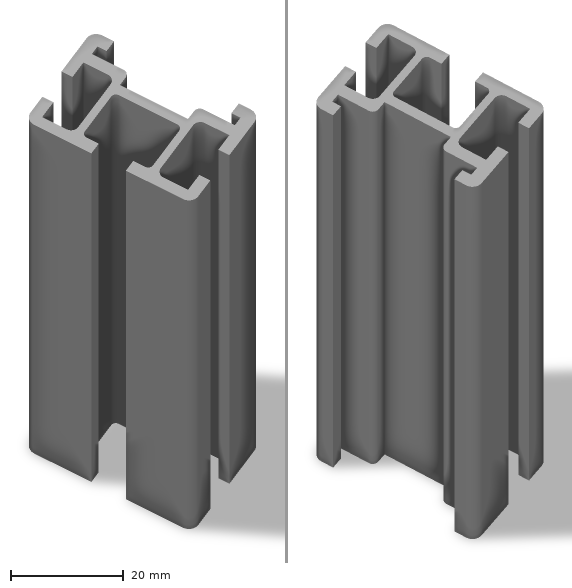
import cadquery as cq

width = 35.0
depth = 23.0
length = 100.0
half_width = width / 2

side_wall = 2.3
pocket_floor = 2.2
pocket_top = 16.2
pocket_reach = 8.6
side_slot_bottom = 6.0
side_slot_top = 12.5

channel_half_width = 7.1
channel_floor = 2.5
channel_top = 13.4
front_slot_width = 7.2

bridge_top = 15.4
shelf_top = 18.6
recess_half_width = 14.9
lip_thickness = 2.5
lip_half_opening = 13.0

outer_radius = 2.0
pocket_radius = 1.5
channel_radius = 1.0
shoulder_radius = 1.2


def bar(x_min, x_max, y_min, y_max):
    """Full-length rectangular bar; y is measured from the front face."""
    return (
        cq.Workplane("XY")
        .box(x_max - x_min, y_max - y_min, length, centered=False)
        .translate((x_min, y_min - depth / 2, -length / 2))
    )


def edges_at(x, y):
    """Selector for the lengthwise edge at one corner of the section."""
    return cq.selectors.NearestToPointSelector((x, y - depth / 2, 0))


def side_pocket():
    """Pocket and slot on the +X side, rounded at its inner corners."""
    pocket = bar(pocket_reach, half_width - side_wall, pocket_floor, pocket_top)
    pocket = pocket.edges("|Z and <X").fillet(pocket_radius)
    slot = bar(half_width - side_wall, half_width, side_slot_bottom, side_slot_top)
    return pocket.union(slot)


def central_channel():
    channel = bar(-channel_half_width, channel_half_width, channel_floor, channel_top)
    channel = channel.edges("|Z").fillet(channel_radius)
    slot = bar(-front_slot_width / 2, front_slot_width / 2, 0, channel_floor)
    return channel.union(slot)


def back_recess():
    """Opening between the lips, undercut behind them, and the lower step."""
    opening = bar(-lip_half_opening, lip_half_opening, shelf_top, depth)
    undercut = bar(-recess_half_width, recess_half_width, shelf_top, depth - lip_thickness)
    step = bar(-channel_half_width, channel_half_width, bridge_top, shelf_top)
    return opening.union(undercut).union(step)


body = bar(-half_width, half_width, 0, depth).edges("|Z").fillet(outer_radius)
pocket = side_pocket()
body = body.cut(pocket).cut(pocket.mirror("YZ"))
body = body.cut(central_channel()).cut(back_recess())

for side in (-1, 1):
    shoulder = edges_at(side * channel_half_width, shelf_top)
    body = body.edges("|Z").edges(shoulder).fillet(shoulder_radius)

result = body